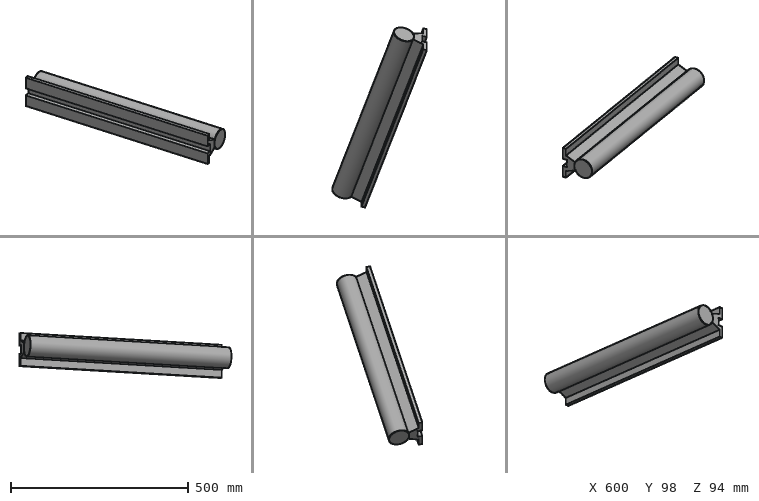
import cadquery as cq

length = 600.0
overall_depth = 98.0
flange_height = 94.0

shaft_diameter = 60.0
shaft_radius = shaft_diameter / 2
shaft_center_y = overall_depth - shaft_radius
shaft_chamfer = 1.0

flange_thickness = 11.0
web_root_height = 51.0
web_tip_height = 26.5
slot_height = 23.5
slot_depth = 14.0


def make_shaft():
    """Solid round bar with a small chamfer on both ends."""
    shaft = cq.Workplane("YZ").center(shaft_center_y, 0).circle(shaft_radius).extrude(length)
    return shaft.faces("<X or >X").chamfer(shaft_chamfer)


def make_support():
    """Flanged rail with a tapered web, a front slot and a round seat for the shaft."""
    tip_rise = web_tip_height / 2
    tip_y = shaft_center_y - (shaft_radius**2 - tip_rise**2) ** 0.5
    upper_outline = [
        (0, slot_height / 2),
        (0, flange_height / 2),
        (flange_thickness, flange_height / 2),
        (flange_thickness, web_root_height / 2),
        (tip_y, tip_rise),
    ]
    lower_outline = [(y, -z) for y, z in reversed(upper_outline)]
    slot_floor = [(slot_depth, -slot_height / 2), (slot_depth, slot_height / 2)]
    seat_bottom = (shaft_center_y - shaft_radius, 0)
    return (
        cq.Workplane("YZ")
        .polyline(upper_outline)
        .threePointArc(seat_bottom, lower_outline[0])
        .polyline(lower_outline[1:] + slot_floor, includeCurrent=True)
        .close()
        .extrude(length)
    )


shaft = make_shaft()
support = make_support()

result = cq.Compound.makeCompound([shaft.val(), support.val()])